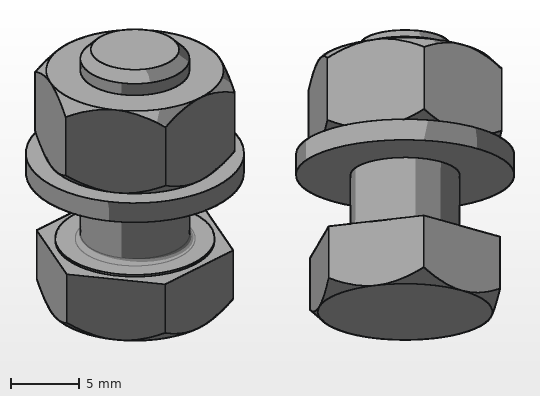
import cadquery as cq
import math

total_height = 20.73
shank_diameter = 8.0
tip_chamfer = 0.77

head_across_flats = 12.8
head_height = 5.0
bearing_face_diameter = 11.7
bearing_face_height = 0.17
neck_fillet_radius = 0.4

washer_diameter = 16.0
washer_thickness = 1.6
washer_bottom = 10.6

nut_across_flats = 13.0
nut_height = 6.82

shank_radius = shank_diameter / 2
head_top = head_height + bearing_face_height
nut_bottom = washer_bottom + washer_thickness


def hex_prism(across_flats, height):
    """Hexagonal prism standing on Z = 0, with two corners on the Y axis."""
    across_corners = across_flats / math.cos(math.radians(30))
    return (
        cq.Workplane("XY")
        .polygon(6, across_corners)
        .extrude(height)
        .rotate((0, 0, 0), (0, 0, 1), 30)
    )


def corner_cone(across_flats, height):
    """Cone that widens upward at 45 degrees from the inscribed circle at Z = 0."""
    flat_radius = across_flats / 2
    return (
        cq.Workplane("XZ")
        .polyline([(0, 0), (flat_radius, 0), (flat_radius + height, height), (0, height)])
        .close()
        .revolve(360, (0, 0, 0), (0, 1, 0))
    )


def hex_with_chamfered_bottom(across_flats, height):
    """Hexagonal prism with its lower corners turned off at 45 degrees."""
    return hex_prism(across_flats, height).intersect(corner_cone(across_flats, height))


def make_bolt():
    """Hex bolt, head down, with a bearing face, a filleted neck and a chamfered tip."""
    head = hex_with_chamfered_bottom(head_across_flats, head_height)
    fillet_midpoint = neck_fillet_radius * (1 - math.sqrt(0.5))
    turned_part = (
        cq.Workplane("XZ")
        .moveTo(0, head_height)
        .lineTo(bearing_face_diameter / 2, head_height)
        .lineTo(bearing_face_diameter / 2, head_top)
        .lineTo(shank_radius + neck_fillet_radius, head_top)
        .threePointArc(
            (shank_radius + fillet_midpoint, head_top + fillet_midpoint),
            (shank_radius, head_top + neck_fillet_radius),
        )
        .lineTo(shank_radius, total_height - tip_chamfer)
        .lineTo(shank_radius - tip_chamfer, total_height)
        .lineTo(0, total_height)
        .close()
        .revolve(360, (0, 0, 0), (0, 1, 0))
    )
    return head.union(turned_part)


def make_washer():
    """Flat washer that fits closely around the shank."""
    return (
        cq.Workplane("XY", origin=(0, 0, washer_bottom))
        .circle(washer_diameter / 2)
        .circle(shank_radius)
        .extrude(washer_thickness)
    )


def make_nut():
    """Hex nut on the washer, with its corners turned off at both ends."""
    top_cone = (
        corner_cone(nut_across_flats, nut_height)
        .mirror("XY")
        .translate((0, 0, nut_height))
    )
    bore = cq.Workplane("XY").circle(shank_radius).extrude(nut_height)
    return (
        hex_with_chamfered_bottom(nut_across_flats, nut_height)
        .intersect(top_cone)
        .cut(bore)
        .translate((0, 0, nut_bottom))
    )


bolt = make_bolt()
washer = make_washer()
nut = make_nut()

result = cq.Compound.makeCompound([bolt.solids().val(), washer.val(), nut.solids().val()])